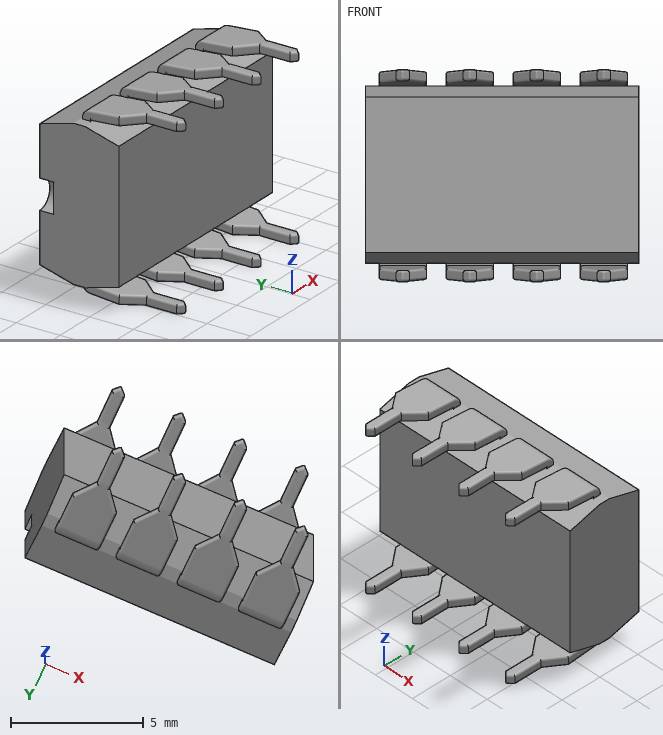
import cadquery as cq
import math

housing_length = 10.34
housing_depth = 3.62
ridge_width = 0.52
shoulder_drop = 0.42
housing_rise = 0.04

notch_radius = 0.67
notch_depth = 0.63

lead_count = 4
lead_pitch = 2.53
lead_shift = 0.04
lead_thickness = 0.42
lead_width = 1.8
lead_slope = math.radians(4.8)
lead_half_span = 4.01
pin_width = 0.51
pin_bend_radius = 1.65
edge_round = 0.1
tip_round = 0.06

taper_distance = 1.74
pin_distance = 2.73
tip_distance = 4.16
taper_to_bend = 0.04

lead_back = ridge_width / 2
taper_start = lead_back - taper_distance
pin_start = lead_back - pin_distance
bend_start = pin_start + pin_bend_radius * math.sin(lead_slope)
taper_end = bend_start + taper_to_bend
pin_tip = lead_back - tip_distance

pin_apex = pin_tip - tip_round * (math.sqrt(2) - 1)
point_start = pin_apex + pin_width / 2

slope_drop = pin_bend_radius * (1 - math.cos(lead_slope))
slope_thickness = lead_thickness * math.cos(lead_slope)

heel_y = lead_back - slope_thickness
heel_z = lead_half_span - lead_thickness - slope_drop - (heel_y - bend_start) * math.tan(lead_slope)
foot_length = 2 * housing_rise
foot_z = heel_z - foot_length
ridge_height = heel_z - housing_rise
shoulder_height = ridge_height - shoulder_drop


def arc_point(center_y, center_z, radius, angle):
    """Point on a circle in the YZ plane, with the angle measured from +Z toward +Y."""
    return (center_y + radius * math.sin(angle), center_z + radius * math.cos(angle))


def make_housing():
    half_depth = housing_depth / 2
    half_ridge = ridge_width / 2
    section = [
        (half_depth, -shoulder_height),
        (half_depth, shoulder_height),
        (half_ridge, ridge_height),
        (-half_ridge, ridge_height),
        (-half_depth, shoulder_height),
        (-half_depth, -shoulder_height),
        (-half_ridge, -ridge_height),
        (half_ridge, -ridge_height),
    ]
    bar = cq.Workplane("YZ").polyline(section).close().extrude(housing_length / 2, both=True)
    notch = (
        cq.Workplane("XZ", origin=(-housing_length / 2, half_depth, 0))
        .circle(notch_radius)
        .extrude(notch_depth)
    )
    return bar.cut(notch).translate((0, 0, housing_rise))


def make_bent_strip():
    heel_mid_angle = (math.pi / 2 + lead_slope) / 2
    outer_bend_z = lead_half_span - pin_bend_radius
    inner_bend_z = outer_bend_z - lead_thickness
    return (
        cq.Workplane("YZ")
        .moveTo(heel_y, foot_z)
        .lineTo(lead_back, foot_z)
        .lineTo(lead_back, heel_z)
        .threePointArc(
            arc_point(heel_y, heel_z, slope_thickness, heel_mid_angle),
            arc_point(heel_y, heel_z, slope_thickness, lead_slope),
        )
        .lineTo(*arc_point(pin_start, outer_bend_z, pin_bend_radius, lead_slope))
        .threePointArc(
            arc_point(pin_start, outer_bend_z, pin_bend_radius, lead_slope / 2),
            (pin_start, lead_half_span),
        )
        .lineTo(pin_apex, lead_half_span)
        .lineTo(pin_apex, lead_half_span - lead_thickness)
        .lineTo(pin_start, lead_half_span - lead_thickness)
        .threePointArc(
            arc_point(pin_start, inner_bend_z, pin_bend_radius, lead_slope / 2),
            arc_point(pin_start, inner_bend_z, pin_bend_radius, lead_slope),
        )
        .lineTo(heel_y, heel_z)
        .close()
        .extrude(lead_width / 2, both=True)
    )


def make_lead_outline():
    half_lead = lead_width / 2
    half_pin = pin_width / 2
    corners = [
        (-half_lead, lead_back),
        (half_lead, lead_back),
        (half_lead, taper_start),
        (half_pin, taper_end),
        (half_pin, point_start),
        (0, pin_apex),
        (-half_pin, point_start),
        (-half_pin, taper_end),
        (-half_lead, taper_start),
    ]
    return cq.Workplane("XY").polyline(corners).close().extrude(lead_half_span)


def make_lead():
    lead = make_bent_strip().intersect(make_lead_outline())
    lead = lead.edges("|Z").edges("<Y").fillet(tip_round)
    above_foot = cq.selectors.BoxSelector(
        (-lead_width, pin_apex - lead_width, heel_z - foot_length / 2),
        (lead_width, lead_back + lead_width, lead_half_span + lead_width),
    )
    return lead.edges("not(|X or |Z)").edges(above_foot).fillet(edge_round)


def place_leads():
    upper_lead = make_lead()
    lower_lead = upper_lead.mirror("XY")
    placed = []
    for index in range(lead_count):
        x = lead_shift + (index - (lead_count - 1) / 2) * lead_pitch
        for lead in (upper_lead, lower_lead):
            placed.append(lead.translate((x, 0, 0)))
    return placed


leads = place_leads()

housing = make_housing()
for lead in leads:
    housing = housing.cut(lead)

result = cq.Compound.makeCompound([housing.val(), *[lead.val() for lead in leads]])